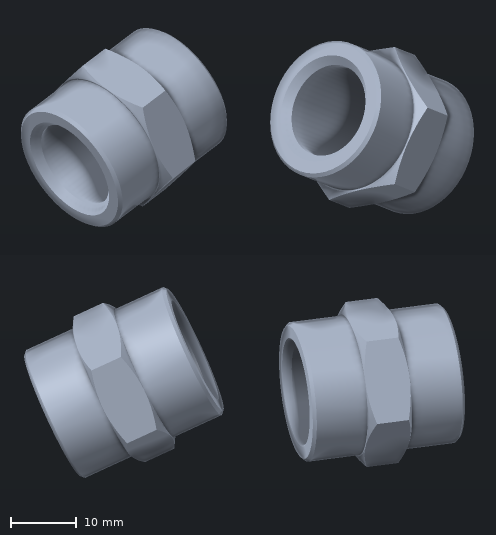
import cadquery as cq
import math

length = 24.0
body_diameter = 21.5
end_chamfer = 0.5
hex_across_flats = 22.0
hex_sides = 6
hex_width = 7.0
hex_chamfer_angle = 30.0
hex_face_diameter = 21.9
bore_diameter = 14.3
countersink_diameter = 16.7
countersink_angle = 45.0

hex_across_corners = hex_across_flats / math.cos(math.pi / hex_sides)
body_radius = body_diameter / 2
bore_radius = bore_diameter / 2
countersink_radius = countersink_diameter / 2
countersink_depth = (countersink_radius - bore_radius) / math.tan(math.radians(countersink_angle))


def revolve_about_y(profile):
    """Turn a closed (radius, y) outline into a solid of revolution about the Y axis."""
    return cq.Workplane("XY").polyline(profile).close().revolve(360, (0, 0, 0), (0, 1, 0))


def make_body():
    """Round body with a chamfer on the outer edge of both ends."""
    end = length / 2
    chamfer_start = end - end_chamfer
    end_face_radius = body_radius - end_chamfer
    return revolve_about_y([
        (0, -end),
        (end_face_radius, -end),
        (body_radius, -chamfer_start),
        (body_radius, chamfer_start),
        (end_face_radius, end),
        (0, end),
    ])


def make_hexagon():
    """Central wrench hexagon, corners on the X axis, with conically chamfered corners."""
    half_width = hex_width / 2
    prism = (
        cq.Workplane("XZ")
        .polygon(hex_sides, hex_across_corners)
        .extrude(half_width, both=True)
    )
    face_radius = hex_face_diameter / 2
    cone_radius = face_radius + half_width / math.tan(math.radians(hex_chamfer_angle))
    double_cone = revolve_about_y([
        (0, -half_width),
        (face_radius, -half_width),
        (cone_radius, 0),
        (face_radius, half_width),
        (0, half_width),
    ])
    return prism.intersect(double_cone)


def make_bore():
    """Through bore with a countersink at both ends."""
    end = length / 2
    bore_end = end - countersink_depth
    return revolve_about_y([
        (0, -end),
        (countersink_radius, -end),
        (bore_radius, -bore_end),
        (bore_radius, bore_end),
        (countersink_radius, end),
        (0, end),
    ])


result = make_body().union(make_hexagon()).cut(make_bore())